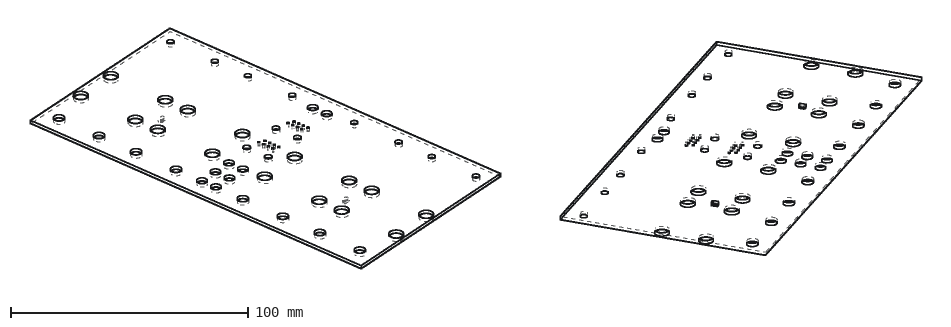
import cadquery as cq

BOARD_LENGTH = 180.0
BOARD_WIDTH = 93.0
BOARD_THICKNESS = 1.6

CHANNEL_CENTER_X = 50.0

JACK_DIAMETER = 6.3
JACK_OFFSETS = (6.1, 35.8)
JACK_FRONT_Y = -18.0
JACK_ROW_SPACING = 20.0
JACK_ROWS_Y = (JACK_FRONT_Y, JACK_FRONT_Y + JACK_ROW_SPACING)

LAMP_DIAMETER = 3.0
LAMP_OFFSETS = (9.0, 33.1)
LAMP_Y = 38.5

FRONT_HOLE_DIAMETER = 4.9
FRONT_HOLE_OFFSETS = (10.0, 31.9)
FRONT_HOLE_Y = -37.5

CABLE_DIAMETER = 4.5
CABLE_PAIR_SPACING = 7.5
CABLE_PAIR_CENTER_X = -0.27
CABLE_ROWS_Y = (-37.5, -28.5, -19.5, 36.5)

PEG_DIAMETER = 3.2
PEG_SPACING = 11.7
PEG_ROWS_Y = (-5.2, 14.2)
CONNECTOR_CENTER_X = -0.09
CONTACT_DIAMETER = 0.9
CONTACT_COUNT = 8
CONTACT_PITCH = 1.3
CONTACT_ROW_SPACING = 2.5
PEG_TO_NEAR_CONTACTS = 6.3

CHIP_LENGTH = 2.9
CHIP_WIDTH = 1.8
CHIP_HEIGHT = 1.6
CASE_WIDTH = 1.3
CASE_STRAIGHT_HEIGHT = 0.9
CASE_TAPER = 0.09
STEP_LENGTH = 2.2
STEP_HEIGHT = 1.5
STEP_WIDTH = CHIP_WIDTH - CASE_WIDTH
CHIP_Y = sum(JACK_ROWS_Y) / len(JACK_ROWS_Y)


def channel_columns(offsets):
    """Return the column positions on both sides of both channel centres."""
    return [
        channel * CHANNEL_CENTER_X + side * offset
        for channel in (-1, 1)
        for side in (-1, 1)
        for offset in offsets
    ]


def pair(center, spacing):
    """Return two positions at equal distances from the centre."""
    return [center - spacing / 2, center + spacing / 2]


def grid(columns, rows):
    """Return every crossing of the columns and rows."""
    return [(x, y) for y in rows for x in columns]


def contact_points(peg_y):
    """Return the staggered contact centres of one connector."""
    points = []
    for index in range(CONTACT_COUNT):
        x = CONNECTOR_CENTER_X + (index - (CONTACT_COUNT - 1) / 2) * CONTACT_PITCH
        y = peg_y + PEG_TO_NEAR_CONTACTS + (index % 2) * CONTACT_ROW_SPACING
        points.append((x, y))
    return points


def drill(board, points, diameter):
    """Drill round holes through the board at the given points."""
    return board.faces(">Z").workplane(origin=(0, 0, 0)).pushPoints(points).hole(diameter)


def make_board():
    board = cq.Workplane("XY").box(
        BOARD_LENGTH, BOARD_WIDTH, BOARD_THICKNESS, centered=(True, True, False)
    )

    board = drill(board, grid(channel_columns(JACK_OFFSETS), JACK_ROWS_Y), JACK_DIAMETER)
    board = drill(board, grid(channel_columns(LAMP_OFFSETS), [LAMP_Y]), LAMP_DIAMETER)
    board = drill(board, grid(channel_columns(FRONT_HOLE_OFFSETS), [FRONT_HOLE_Y]), FRONT_HOLE_DIAMETER)

    cable_columns = pair(CABLE_PAIR_CENTER_X, CABLE_PAIR_SPACING)
    board = drill(board, grid(cable_columns, CABLE_ROWS_Y), CABLE_DIAMETER)

    peg_columns = pair(CONNECTOR_CENTER_X, PEG_SPACING)
    board = drill(board, grid(peg_columns, PEG_ROWS_Y), PEG_DIAMETER)
    for peg_y in PEG_ROWS_Y:
        board = drill(board, contact_points(peg_y), CONTACT_DIAMETER)
    return board


def make_chip(side):
    """Return the chip of the left (-1) or right (1) channel, hanging from the board."""
    case_top = cq.Workplane("XY").rect(CASE_WIDTH, CHIP_LENGTH).extrude(-CASE_STRAIGHT_HEIGHT)
    case_tip = (
        cq.Workplane("XY")
        .workplane(offset=-CASE_STRAIGHT_HEIGHT)
        .rect(CASE_WIDTH, CHIP_LENGTH)
        .workplane(offset=CASE_STRAIGHT_HEIGHT - CHIP_HEIGHT)
        .rect(CASE_WIDTH - 2 * CASE_TAPER, CHIP_LENGTH - 2 * CASE_TAPER)
        .loft()
    )
    case = case_top.union(case_tip).translate((side * STEP_WIDTH / 2, 0, 0))

    step_inner_x = -side * CHIP_WIDTH / 2
    step_outer_x = side * STEP_WIDTH / 2
    step = (
        cq.Workplane("XY")
        .center((step_inner_x + step_outer_x) / 2, 0)
        .rect(abs(step_outer_x - step_inner_x), STEP_LENGTH)
        .extrude(-STEP_HEIGHT)
    )
    return case.union(step).translate((side * CHANNEL_CENTER_X, CHIP_Y, 0))


board = make_board()
chips = [make_chip(side) for side in (-1, 1)]

result = cq.Compound.makeCompound([board.val(), *[chip.val() for chip in chips]])